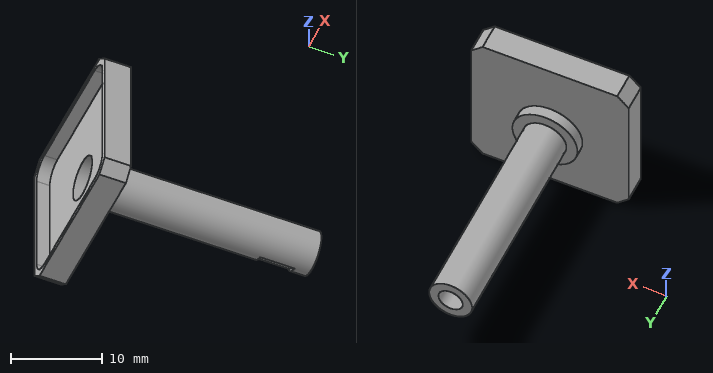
import cadquery as cq

plate_side = 19.05
plate_thickness = 3.15
corner_chamfer = 1.4

rim_width = 0.6
recess_depth = 1.57
recess_corner_radius = 2.1

overall_length = 29.03
axis_drop = 1.07
stem_diameter = 5.2
collar_diameter = 7.87
collar_length = 1.3
bore_diameter = 2.93
counterbore_depth = 1.57

flat_length = 4.1
flat_end_distance = 1.75
flat_axis_distance = 2.3
flat_angle = 45.0


def box_on_axis(side, start, length):
    """Square block centred on the plate, running along +Y from start."""
    return cq.Workplane("XZ", origin=(0, start, 0)).rect(side, side).extrude(-length)


def rod(diameter, start, end):
    """Cylinder on the stem axis between two Y positions."""
    plane = cq.Workplane("XZ", origin=(0, start, -axis_drop))
    return plane.circle(diameter / 2).extrude(start - end)


def flat_cutter():
    """Block whose inner face forms the flat, tilted about the stem axis."""
    y_middle = overall_length - flat_end_distance - flat_length / 2
    block = cq.Workplane("XY").box(stem_diameter, flat_length, stem_diameter)
    block = block.translate((-flat_axis_distance - stem_diameter / 2, y_middle, 0))
    block = block.rotate((0, 0, 0), (0, 1, 0), -flat_angle)
    return block.translate((0, 0, -axis_drop))


plate = box_on_axis(plate_side, 0, plate_thickness).edges("|Y").chamfer(corner_chamfer)
recess = box_on_axis(plate_side - 2 * rim_width, 0, recess_depth)
recess = recess.edges("|Y").fillet(recess_corner_radius)

collar = rod(collar_diameter, recess_depth, plate_thickness + collar_length)
stem = rod(stem_diameter, recess_depth, overall_length)
bore = rod(bore_diameter, 0, overall_length)
counterbore = rod(stem_diameter, 0, recess_depth + counterbore_depth)

result = plate.union(collar).union(stem)
result = result.cut(recess).cut(counterbore).cut(bore).cut(flat_cutter())